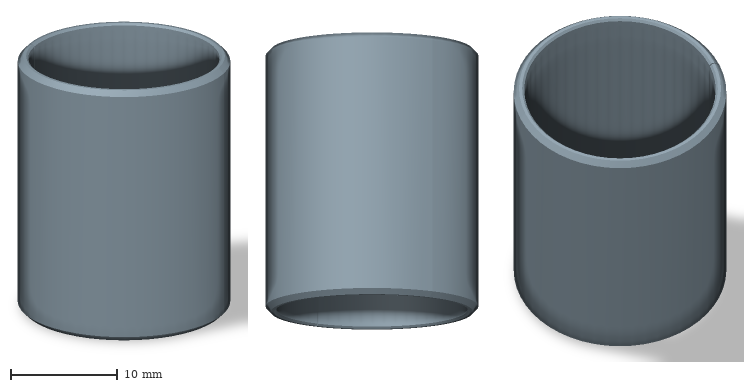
import cadquery as cq

length = 25.0
outer_diameter = 20.0
wall = 1.0
outer_chamfer = 0.5
inner_chamfer = 0.2
split_width = 0.1

outer_radius = outer_diameter / 2
bore_radius = outer_radius - wall


def sleeve():
    """Revolve the wall section, with both ends chamfered inside and outside."""
    section = (
        cq.Workplane("XZ")
        .moveTo(bore_radius, inner_chamfer)
        .lineTo(bore_radius + inner_chamfer, 0)
        .lineTo(outer_radius - outer_chamfer, 0)
        .lineTo(outer_radius, outer_chamfer)
        .lineTo(outer_radius, length - outer_chamfer)
        .lineTo(outer_radius - outer_chamfer, length)
        .lineTo(bore_radius + inner_chamfer, length)
        .lineTo(bore_radius, length - inner_chamfer)
        .close()
    )
    return section.revolve(360, (0, 0, 0), (0, 1, 0))


def split():
    """Thin full-length slit through the wall on the -X side, lying just on the +Y side of the axis."""
    return cq.Workplane("XY").box(
        outer_diameter, split_width, length, centered=(True, False, False)
    ).translate((-outer_radius, 0, 0))


result = sleeve().cut(split())